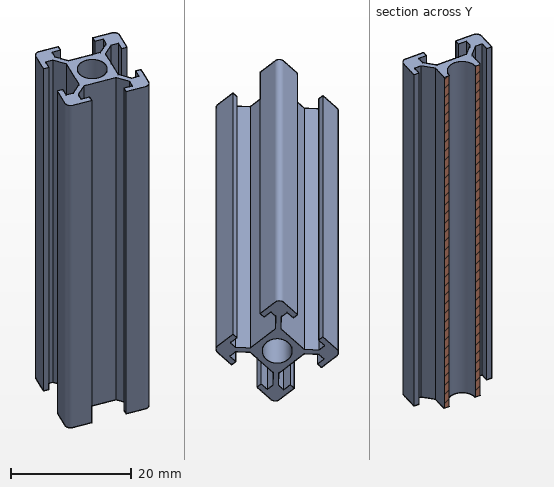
import cadquery as cq
import math

length = 70.0
side = 15.0
corner_radius = 1.0
bore_diameter = 5.0

slot_opening = 6.15
slot_inner_width = 9.2
lip_thickness = 1.0
core_width = 7.0
web_thickness = 0.9


def make_slot():
    """Cutter for the T-slot that opens on the +Y side."""
    half_opening = slot_opening / 2
    half_inner = slot_inner_width / 2
    outer_face = side / 2
    lip_inner_face = outer_face - lip_thickness
    slot_floor = core_width / 2
    web_offset = web_thickness / math.sqrt(2)
    half_floor = slot_floor - web_offset
    shoulder = half_inner + web_offset

    right_half = [
        (half_floor, slot_floor),
        (half_inner, shoulder),
        (half_inner, lip_inner_face),
        (half_opening, lip_inner_face),
        (half_opening, outer_face),
    ]
    left_half = [(-x, y) for x, y in reversed(right_half)]
    return cq.Workplane("XY").polyline(right_half + left_half).close().extrude(length)


result = cq.Workplane("XY").rect(side, side).extrude(length)
result = result.edges("|Z").fillet(corner_radius)
result = result.faces(">Z").workplane().hole(bore_diameter)

slot = make_slot()
for angle in (0, 90, 180, 270):
    result = result.cut(slot.rotate((0, 0, 0), (0, 0, 1), angle))